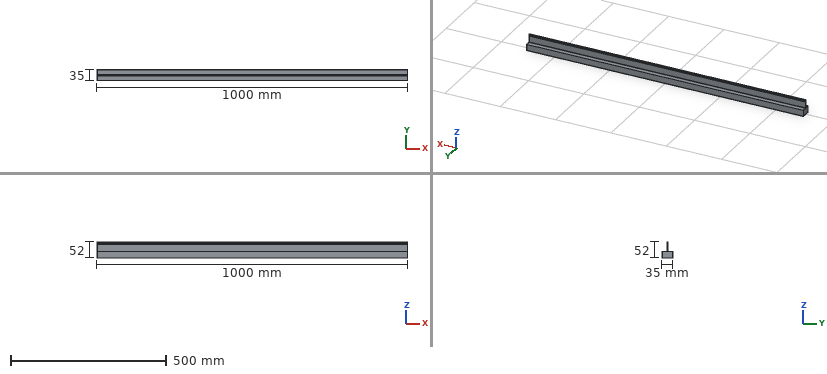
import cadquery as cq

length = 1000
base_width = 35.0
base_height = 22.0
total_height = 52.0

fin_thickness = 2.0

bead_thickness = 4.0
bead_bottom = 45.0
bead_top = 50.0
bead_slope = (bead_thickness - fin_thickness) / 2

half_base = base_width / 2
half_fin = fin_thickness / 2
half_bead = bead_thickness / 2

right_side = [
    (half_base, 0),
    (half_base, base_height),
    (half_fin, base_height),
    (half_fin, bead_bottom),
    (half_bead, bead_bottom + bead_slope),
    (half_bead, bead_top - bead_slope),
    (half_fin, bead_top),
    (half_fin, total_height),
]
left_side = [(-y, z) for y, z in reversed(right_side)]

result = cq.Workplane("YZ").polyline(right_side + left_side).close().extrude(length)